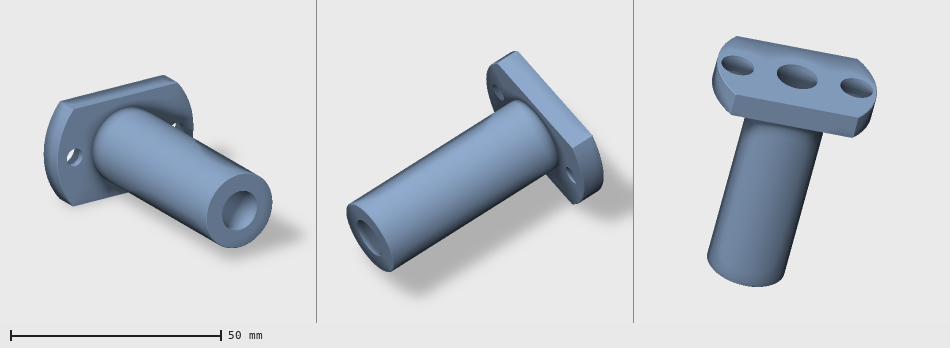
import cadquery as cq

total_length = 55.0
flange_diameter = 39.0
flange_thickness = 6.0
flange_height = 25.0
sleeve_diameter = 19.0
bore_diameter = 10.0
screw_spacing = 29.0
screw_hole_diameter = 4.5
counterbore_diameter = 8.0
counterbore_depth = 4.4
edge_chamfer = 0.15


def make_flange():
    """Disc with chamfered rims, trimmed by two flats at top and bottom."""
    disc = (
        cq.Workplane("YZ")
        .circle(flange_diameter / 2)
        .extrude(flange_thickness)
        .edges("%CIRCLE")
        .chamfer(edge_chamfer)
    )
    flats = cq.Workplane("YZ").rect(flange_diameter, flange_height).extrude(flange_thickness)
    return disc.intersect(flats)


def make_sleeve():
    """Long cylinder with a chamfered free end."""
    return (
        cq.Workplane("YZ")
        .circle(sleeve_diameter / 2)
        .extrude(total_length)
        .faces(">X")
        .chamfer(edge_chamfer)
    )


def make_screw_holes():
    """Two counterbored through holes, counterbores open on the flange face."""
    centers = [(-screw_spacing / 2, 0), (screw_spacing / 2, 0)]
    plane = cq.Workplane("YZ").pushPoints(centers)
    shanks = plane.circle(screw_hole_diameter / 2).extrude(flange_thickness)
    counterbores = plane.circle(counterbore_diameter / 2).extrude(counterbore_depth)
    return shanks.union(counterbores)


bore = cq.Workplane("YZ").circle(bore_diameter / 2).extrude(total_length)

result = make_flange().union(make_sleeve()).cut(bore).cut(make_screw_holes())